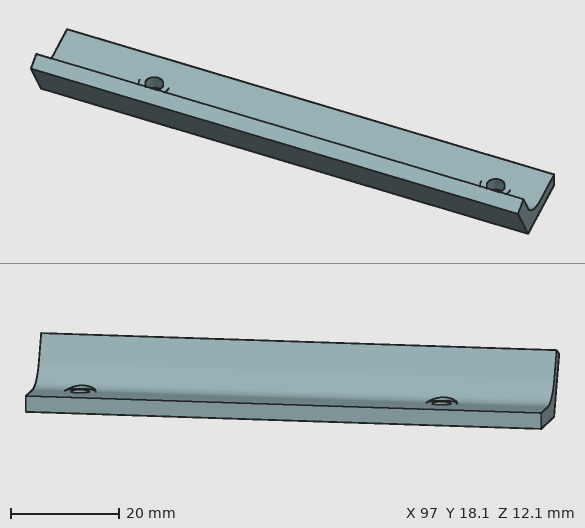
import cadquery as cq
import math

length = 97.0
thickness = 3.0
base_width = 13.0
lip_length = 12.0
lip_angle = math.radians(65.0)
inner_radius = 7.0

hole_diameter = 3.4
head_diameter = 5.8
first_hole_x = 20.0
hole_spacing = 68.0
hole_x_positions = (first_hole_x, first_hole_x + hole_spacing)

lip_run = lip_length * math.cos(lip_angle)
lip_rise = lip_length * math.sin(lip_angle)
edge_run = thickness * math.sin(lip_angle)
edge_rise = thickness * math.cos(lip_angle)
total_height = lip_rise + edge_rise

arc_center_y = (thickness + inner_radius) * math.tan(lip_angle / 2)
arc_center_z = thickness + inner_radius

hole_y = arc_center_y


def arc_point(angle):
    """Point on the inner bend, with the angle measured from straight down toward the lip."""
    return (
        arc_center_y - inner_radius * math.sin(angle),
        arc_center_z - inner_radius * math.cos(angle),
    )


def bent_strip():
    """Constant cross-section extruded along X."""
    return (
        cq.Workplane("YZ")
        .moveTo(0, 0)
        .lineTo(base_width, 0)
        .lineTo(base_width, thickness)
        .lineTo(*arc_point(0))
        .threePointArc(arc_point(lip_angle / 2), arc_point(lip_angle))
        .lineTo(edge_run - lip_run, total_height)
        .lineTo(-lip_run, lip_rise)
        .close()
        .extrude(length)
    )


def screw_hole(x):
    """Through hole plus a head pocket that bottoms out level with the base top."""
    shank = cq.Workplane("XY").center(x, hole_y).circle(hole_diameter / 2).extrude(total_height)
    head = (
        cq.Workplane("XY", origin=(0, 0, thickness))
        .center(x, hole_y)
        .circle(head_diameter / 2)
        .extrude(total_height - thickness)
    )
    return shank.union(head)


result = bent_strip()
for hole_x in hole_x_positions:
    result = result.cut(screw_hole(hole_x))